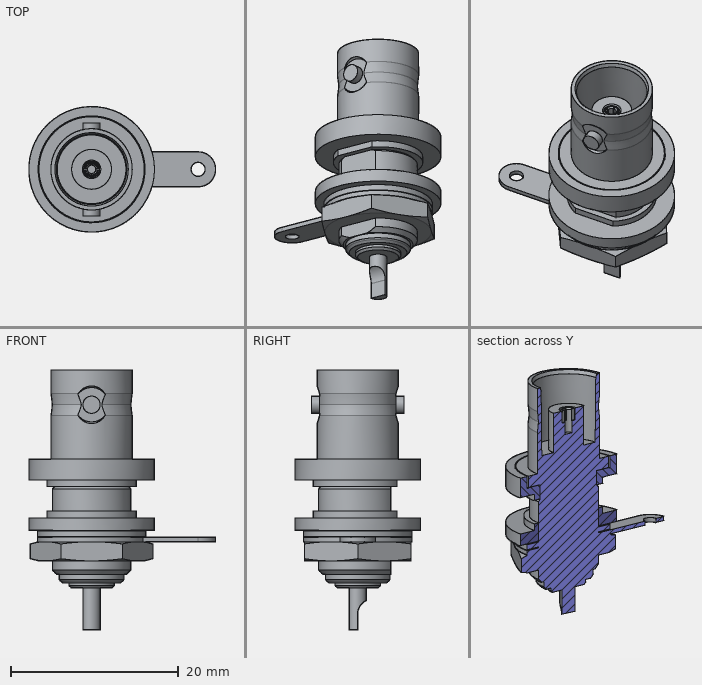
import cadquery as cq
import math


tail_radius = 1.04
tail_length = 5.0
tail_cut_radius = 1.8
tail_cut_start = 1.87

rear_step_radius = 2.72
rear_step_chamfer = 0.28
rear_step_top = tail_length + 0.58
middle_step_radius = 3.87
middle_step_bevels = ((0.12, 0.17), (0.3, 0.27))
middle_step_top = rear_step_top + 1.02

thread_radius = 4.68
shank_flat_y = 3.95
shank_chamfer = 0.52
neck_radius = 4.43

nut_bottom = 8.22
nut_height = 2.28
nut_across_flats = 12.7
nut_corner_radius = nut_across_flats / math.sqrt(3)
nut_chamfer_radius = nut_across_flats / 2
nut_chamfer_angle = math.radians(15)
nut_chamfer_drop = (nut_corner_radius - nut_chamfer_radius) * math.tan(nut_chamfer_angle)

ring_radius = 6.48
lug_bottom = nut_bottom + nut_height
lug_thickness = 0.56
lug_tip_x = 12.7
lug_width = 4.2
lug_hole_diameter = 1.64
stack_gap = 0.06
washer_bottom = lug_bottom + lug_thickness + stack_gap
washer_thickness = 0.68
washer_top = washer_bottom + washer_thickness

insulator_radius = 7.5
boss_radius = 5.33
boss_flat_y = 4.7
lower_bottom = washer_top + stack_gap
lower_flange_thickness = 1.5
lower_boss_height = 0.82
upper_boss_bottom = 17.07
upper_boss_height = 0.77
upper_flange_thickness = 2.5
upper_flange_bottom = upper_boss_bottom + upper_boss_height
upper_top = upper_flange_bottom + upper_flange_thickness
seat_depth = 1.5
seat_radius = 6.38

flange_radius = 6.27
barrel_radius = 4.85
barrel_top = 31.0
groove_height = 26.84
groove_half_width = 1.31
groove_depth = 0.14
groove_arc_radius = 12.0
bayonet_pin_radius = 1.03
bayonet_pin_tip_y = 5.54
pad_y = 4.55
pad_floor_radius = 2.05
pad_rim_radius = 2.24

cavity_mouth_radius = 4.38
cavity_radius = 4.2
cavity_floor_radius = 4.1
cavity_chamfer_height = 0.46
cavity_depth = 8.5
post_radius = 2.38
post_top = barrel_top - 3.58

socket_rim_radius = 1.1
socket_land_radius = 0.82
socket_groove_radius = (socket_rim_radius + socket_land_radius) / 2
socket_lip_radius = 0.68
socket_bore_radius = 0.5
socket_bevel_depth = 0.15
socket_depth = 3.0
socket_slit_width = 0.14
socket_slit_depth = 1.5


def disc(radius, bottom, top):
    return cq.Workplane("XY").workplane(offset=bottom).circle(radius).extrude(top - bottom)


def flatted_disc(radius, flat_y, bottom, top):
    """Disc whose +Y side is cut off by a flat."""
    side = 2 * radius
    keep = cq.Workplane("XY").box(side, side, top - bottom, centered=(True, False, False))
    keep = keep.translate((0, flat_y - side, bottom))
    return disc(radius, bottom, top).intersect(keep)


def revolved(points):
    """Solid of revolution about Z from (radius, height) points."""
    return cq.Workplane("XZ").polyline(points).close().revolve(360, (0, 0), (0, 1))


def make_tail():
    tail = disc(tail_radius, 0, tail_length)
    cut = (
        cq.Workplane("YZ")
        .moveTo(0, 0)
        .lineTo(0, tail_cut_start)
        .radiusArc((tail_cut_radius, tail_cut_start + tail_cut_radius), tail_cut_radius)
        .lineTo(tail_cut_radius, 0)
        .close()
        .extrude(tail_radius, both=True)
    )
    return tail.cut(cut)


def make_rear_steps():
    rear = disc(rear_step_radius, tail_length, rear_step_top)
    rear = rear.faces("<Z").chamfer(rear_step_chamfer)

    (upper_inward, upper_drop), (lower_inward, lower_drop) = middle_step_bevels
    middle = revolved([
        (0, middle_step_top),
        (middle_step_radius, middle_step_top),
        (middle_step_radius, rear_step_top + lower_drop + upper_drop),
        (middle_step_radius - upper_inward, rear_step_top + lower_drop),
        (middle_step_radius - upper_inward - lower_inward, rear_step_top),
        (0, rear_step_top),
    ])
    return rear.union(middle)


def make_shank():
    neck_chamfer = thread_radius - neck_radius
    profile = [
        (0, middle_step_top),
        (thread_radius - shank_chamfer, middle_step_top),
        (thread_radius, middle_step_top + shank_chamfer),
        (thread_radius, upper_boss_bottom - neck_chamfer),
        (neck_radius, upper_boss_bottom),
        (neck_radius, upper_top - seat_depth),
        (0, upper_top - seat_depth),
    ]
    keep = flatted_disc(thread_radius, shank_flat_y, middle_step_top, upper_top - seat_depth)
    return revolved(profile).intersect(keep)


def make_nut():
    hexagon = (
        cq.Workplane("XY")
        .workplane(offset=nut_bottom)
        .polygon(6, 2 * nut_corner_radius)
        .extrude(nut_height)
    )
    nut_top = nut_bottom + nut_height
    envelope = revolved([
        (0, nut_bottom),
        (nut_chamfer_radius, nut_bottom),
        (nut_corner_radius, nut_bottom + nut_chamfer_drop),
        (nut_corner_radius, nut_top - nut_chamfer_drop),
        (nut_chamfer_radius, nut_top),
        (0, nut_top),
    ])
    return hexagon.intersect(envelope)


def make_lug():
    ring = disc(ring_radius, lug_bottom, lug_bottom + lug_thickness)
    plane = cq.Workplane("XY").workplane(offset=lug_bottom)
    tab = plane.center(lug_tip_x / 2, 0).rect(lug_tip_x, lug_width).extrude(lug_thickness)
    tip = plane.center(lug_tip_x, 0).circle(lug_width / 2).extrude(lug_thickness)
    hole = plane.center(lug_tip_x, 0).circle(lug_hole_diameter / 2).extrude(lug_thickness)
    return ring.union(tab).union(tip).cut(hole)


def make_barrel():
    """Barrel with a shallow groove round it, two arcs meeting at the height of the bayonet pins."""
    groove_radius = barrel_radius - groove_depth
    return (
        cq.Workplane("XZ")
        .moveTo(0, upper_top)
        .lineTo(barrel_radius, upper_top)
        .lineTo(barrel_radius, groove_height - groove_half_width)
        .radiusArc((groove_radius, groove_height), groove_arc_radius)
        .radiusArc((barrel_radius, groove_height + groove_half_width), groove_arc_radius)
        .lineTo(barrel_radius, barrel_top)
        .lineTo(0, barrel_top)
        .close()
        .revolve(360, (0, 0), (0, 1))
    )


def make_cavity():
    """Tapered cavity around the central post."""
    floor = barrel_top - cavity_depth
    cavity = revolved([
        (0, floor),
        (cavity_floor_radius, floor),
        (cavity_radius, barrel_top - cavity_chamfer_height),
        (cavity_mouth_radius, barrel_top),
        (0, barrel_top),
    ])
    return cavity.cut(disc(post_radius, floor, post_top))


def make_socket():
    """Material removed from the post's top: a V groove round the contact, its bore and four slits."""
    bevel_bottom = post_top - socket_bevel_depth
    groove = revolved([
        (socket_rim_radius, post_top),
        (socket_groove_radius, bevel_bottom),
        (socket_land_radius, post_top),
    ])
    bore = revolved([
        (0, post_top),
        (socket_lip_radius, post_top),
        (socket_bore_radius, bevel_bottom),
        (socket_bore_radius, post_top - socket_depth),
        (0, post_top - socket_depth),
    ])
    slits = cq.Workplane("XY").workplane(offset=post_top)
    slits = slits.rect(2 * socket_groove_radius, socket_slit_width)
    slits = slits.extrude(-socket_slit_depth)
    slits = slits.union(slits.rotate((0, 0, 0), (0, 0, 1), 90))
    return groove.union(bore).union(slits)


def make_bayonet_pad_cut():
    """Conical spot face on the -Y side of the barrel."""
    flare = (pad_rim_radius - pad_floor_radius) / (barrel_radius - pad_y)
    outer_radius = pad_floor_radius + flare * (bayonet_pin_tip_y - pad_y)
    cone = cq.Solid.makeCone(
        pad_floor_radius,
        outer_radius,
        bayonet_pin_tip_y - pad_y,
        pnt=cq.Vector(0, -pad_y, groove_height),
        dir=cq.Vector(0, -1, 0),
    )
    return cq.Workplane(cone)


def make_bayonet_pin():
    """Bayonet pin on the -Y side, rooted in the barrel wall."""
    root_y = (cavity_mouth_radius + pad_y) / 2
    return (
        cq.Workplane("XZ", origin=(0, -root_y, groove_height))
        .circle(bayonet_pin_radius)
        .extrude(bayonet_pin_tip_y - root_y)
    )


def make_connector():
    connector = make_tail().union(make_rear_steps()).union(make_shank())
    connector = connector.union(make_nut()).union(make_lug())
    connector = connector.union(disc(ring_radius, washer_bottom, washer_top))
    connector = connector.union(disc(flange_radius, upper_top - seat_depth, upper_top))
    connector = connector.union(make_barrel())
    for angle in (0, 180):
        connector = connector.cut(make_bayonet_pad_cut().rotate((0, 0, 0), (0, 0, 1), angle))
        connector = connector.union(make_bayonet_pin().rotate((0, 0, 0), (0, 0, 1), angle))
    return connector.cut(make_cavity()).cut(make_socket())


def make_upper_insulator():
    boss = flatted_disc(boss_radius, boss_flat_y, upper_boss_bottom, upper_flange_bottom)
    flange = disc(insulator_radius, upper_flange_bottom, upper_top)
    seat = disc(seat_radius, upper_top - seat_depth, upper_top)
    bore = flatted_disc(neck_radius, shank_flat_y, upper_boss_bottom, upper_top)
    return boss.union(flange).cut(seat).cut(bore)


def make_lower_insulator():
    flange_top = lower_bottom + lower_flange_thickness
    boss_top = flange_top + lower_boss_height
    flange = disc(insulator_radius, lower_bottom, flange_top)
    boss = flatted_disc(boss_radius, boss_flat_y, flange_top, boss_top)
    bore = flatted_disc(thread_radius, shank_flat_y, lower_bottom, boss_top)
    return flange.union(boss).cut(bore)


connector = make_connector()
upper_insulator = make_upper_insulator()
lower_insulator = make_lower_insulator()

result = cq.Compound.makeCompound([
    connector.val(),
    upper_insulator.val(),
    lower_insulator.val(),
])